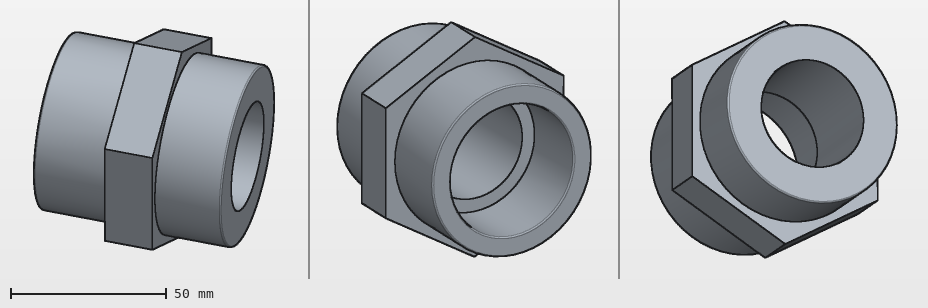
import cadquery as cq
import math

length = 63.0
hex_start = 25.0
hex_width = 16.0
hex_across_flats = 65.0
hex_tilt = 0.17

spigot_diameter = 58.3
rear_diameter = 59.61
bore_diameter = 35.88
socket_diameter = 44.84
socket_depth = 26.0
rim_radius = 0.5


def cylinder(diameter, start, end):
    """Round bar on the X axis between two X positions."""
    return cq.Workplane("YZ", origin=(start, 0, 0)).circle(diameter / 2).extrude(end - start)


def hexagonal_collar():
    """Wrench collar with corners pointing up and down, turned by the small tilt."""
    across_corners = hex_across_flats / math.cos(math.radians(30))
    collar = cq.Workplane("YZ", origin=(hex_start, 0, 0)).polygon(6, across_corners).extrude(hex_width)
    quarter_turn = 90
    return collar.rotate((0, 0, 0), (1, 0, 0), quarter_turn + hex_tilt)


def outer_body():
    """Spigot, collar and rear barrel joined into one solid."""
    spigot = cylinder(spigot_diameter, 0, hex_start)
    rear_barrel = cylinder(rear_diameter, hex_start, length)
    return spigot.union(rear_barrel).union(hexagonal_collar())


def hollow_out(body):
    """Cut the front socket and the narrower through bore."""
    socket = cylinder(socket_diameter, 0, socket_depth)
    bore = cylinder(bore_diameter, 0, length)
    return body.cut(socket).cut(bore)


def round_end_edges(body):
    """Round both edges of the front rim and the outer edge of the rear end."""
    rounded = body.faces("<X").edges().fillet(rim_radius)
    rear_outer_edge = cq.selectors.RadiusNthSelector(-1)
    return rounded.faces(">X").edges(rear_outer_edge).fillet(rim_radius)


result = round_end_edges(hollow_out(outer_body()))